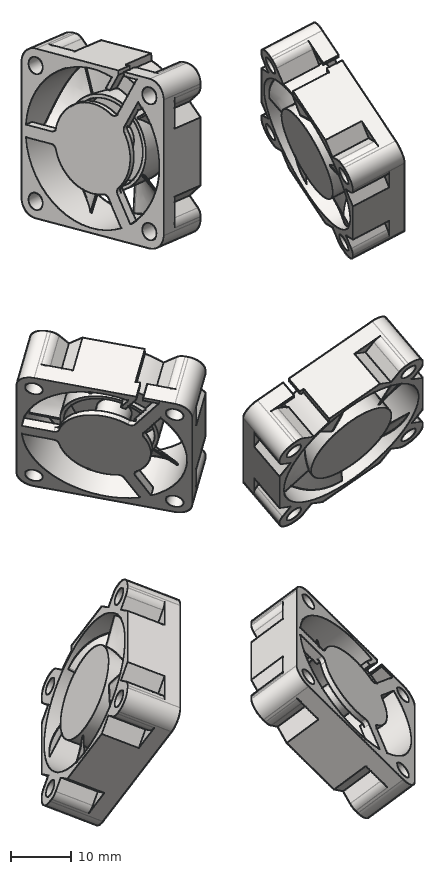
import cadquery as cq
import math

SIDE = 30.0
DEPTH = 10.0
CORNER_RADIUS = 3.0
FLANGE_DEPTH = 3.0
BORE_RADIUS = 14.1
HOLE_OFFSET = 12.0
HOLE_RADIUS = 1.5
HALF_SIDE = SIDE / 2

NOTCH_START = 6.0
NOTCH_DEPTH = 2.3
SHOULDER_RADIUS = 2.0
NOTCH_END = NOTCH_START + 2 * NOTCH_DEPTH
NOTCH_APEX = (NOTCH_START + NOTCH_DEPTH, HALF_SIDE - NOTCH_DEPTH)

PLATE_RADIUS = 7.95
PLATE_THICKNESS = 1.0
BOSS_RADIUS = 3.0
BOSS_DEPTH = 7.38
STRUT_WIDTH = 2.22
STRUT_DEPTH = 1.68
STRUT_FILLET = 0.9
STRUT_END_RADIUS = BORE_RADIUS + 0.15
WIRE_STRUT_ANGLE = 60.0
WIRE_STRUT_SHIFT = -2.05
STRUTS = [(180.0, 0.0), (-60.0, 0.0), (WIRE_STRUT_ANGLE, WIRE_STRUT_SHIFT)]

CHANNEL_WIDTH = 3.3
CHANNEL_WALL = 0.85
CHANNEL_FLOOR = 1.98
CHANNEL_INNER_RADIUS = 11.6
CHANNEL_OUTER_RADIUS = 14.5
CHANNEL_SIDE = WIRE_STRUT_SHIFT + STRUT_WIDTH / 2
WIRE_NOTCH_START = 4.62
WIRE_NOTCH_LEAN = 0.15
WIRE_NOTCH_BOTTOM = 11.4
SLOT_START = 5.45
SLOT_WIDTH = 1.15
HOOK_THICKNESS = 0.75
HOOK_BOTTOM = HALF_SIDE - HOOK_THICKNESS

HUB_RADIUS = 8.4
HUB_WALL = 0.65
HUB_FRONT = 3.65
HUB_FLOOR = 8.22
BLADE_COUNT = 5
BLADE_ANGLE = 85.0
BLADE_TIP_RADIUS = 13.8
BLADE_FRONT = 4.2
BLADE_BACK = 9.3
BLADE_THICKNESS = 0.35
INNER_SECTION = (6.0, 3.6, -1.5, 0.6)
OUTER_SECTION = (14.4, 7.02, -7.3, 1.5)


def sketch_at(y):
    """Workplane at depth y with local coordinates (x, z)."""
    return cq.Workplane("XZ", origin=(0, y, 0))


def turned(body, angle):
    """Turn a body about the bore axis, from +X towards +Z."""
    return body.rotate((0, 0, 0), (0, -1, 0), angle)


def disc(radius, front, back):
    return sketch_at(front).circle(radius).extrude(front - back)


def block(x_range, z_range, front, back):
    (x0, x1), (z0, z1) = x_range, z_range
    outline = [(x0, z0), (x1, z0), (x1, z1), (x0, z1)]
    return sketch_at(front).polyline(outline).close().extrude(front - back)


def post_notch(inner_side):
    """Notch from the points of its inner side, over the apex, to the rounded post shoulder."""
    half_turn = math.radians(45 / 2)
    setback = SHOULDER_RADIUS * math.tan(half_turn)
    slope_run = setback * math.sqrt(0.5)
    corner_gap = SHOULDER_RADIUS / math.cos(half_turn) - SHOULDER_RADIUS
    arc_middle = (
        NOTCH_END + corner_gap * math.sin(half_turn),
        HALF_SIDE - corner_gap * math.cos(half_turn),
    )
    return (
        sketch_at(FLANGE_DEPTH)
        .polyline([*inner_side, NOTCH_APEX, (NOTCH_END - slope_run, HALF_SIDE - slope_run)])
        .threePointArc(arc_middle, (NOTCH_END + setback, HALF_SIDE))
        .close()
        .extrude(FLANGE_DEPTH - DEPTH)
    )


def wire_notch():
    """Wider notch at the wire exit, cut down to a thin wall around the bore."""
    apex_drop = NOTCH_APEX[1] - WIRE_NOTCH_BOTTOM
    inner_side = [
        (WIRE_NOTCH_START, HALF_SIDE),
        (WIRE_NOTCH_START + WIRE_NOTCH_LEAN, WIRE_NOTCH_BOTTOM),
        (NOTCH_APEX[0] - apex_drop, WIRE_NOTCH_BOTTOM),
    ]
    return post_notch(inner_side).cut(disc(CHANNEL_OUTER_RADIUS, 0, DEPTH))


def make_frame():
    frame = sketch_at(0).rect(SIDE, SIDE).extrude(-DEPTH).edges("|Y").fillet(CORNER_RADIUS)
    frame = frame.cut(disc(BORE_RADIUS, 0, DEPTH))
    right_notch = post_notch([(NOTCH_START, HALF_SIDE)])
    left_notch = right_notch.mirror("YZ")
    for side_angle in (0, 90, 180, 270):
        top_right = wire_notch() if side_angle == 0 else right_notch
        frame = frame.cut(turned(top_right, side_angle)).cut(turned(left_notch, side_angle))
    for x in (-HOLE_OFFSET, HOLE_OFFSET):
        for z in (-HOLE_OFFSET, HOLE_OFFSET):
            frame = frame.cut(disc(HOLE_RADIUS, 0, DEPTH).translate((x, 0, z)))
    return frame


def strut(angle, shift, depth):
    sides = (shift - STRUT_WIDTH / 2, shift + STRUT_WIDTH / 2)
    return turned(block((0, STRUT_END_RADIUS), sides, 0, depth), angle)


def make_motor_mount():
    """Plate with filleted strut roots, deeper struts outside it, and the central boss."""
    plate = disc(PLATE_RADIUS, 0, PLATE_THICKNESS)
    for angle, shift in STRUTS:
        plate = plate.union(strut(angle, shift, PLATE_THICKNESS))
    root_zone = cq.selectors.BoxSelector(
        (-HUB_RADIUS, 0, -HUB_RADIUS), (HUB_RADIUS, PLATE_THICKNESS, HUB_RADIUS)
    )
    mount = plate.edges("|Y").edges(root_zone).fillet(STRUT_FILLET)
    plate_space = disc(PLATE_RADIUS, 0, STRUT_DEPTH)
    for angle, shift in STRUTS:
        mount = mount.union(strut(angle, shift, STRUT_DEPTH).cut(plate_space))
    return mount.union(disc(BOSS_RADIUS, 0, BOSS_DEPTH))


def channel_body():
    """Solid surround of the wire channel, inside the bore, from the strut to the channel wall."""
    sides = (CHANNEL_SIDE - STRUT_WIDTH, CHANNEL_SIDE + CHANNEL_WIDTH + CHANNEL_WALL)
    body = turned(block((0, SIDE), sides, 0, FLANGE_DEPTH), WIRE_STRUT_ANGLE)
    return body.intersect(disc(STRUT_END_RADIUS, 0, DEPTH)).cut(disc(CHANNEL_INNER_RADIUS, 0, DEPTH))


def channel_cut():
    """Channel above its floor, the opening behind the hook, and the slot in the top edge."""
    sides = (CHANNEL_SIDE, CHANNEL_SIDE + CHANNEL_WIDTH)
    channel = turned(block((0, SIDE), sides, 0, FLANGE_DEPTH), WIRE_STRUT_ANGLE)
    channel = channel.intersect(block((0, HALF_SIDE), (0, HOOK_BOTTOM), 0, DEPTH))
    channel = channel.cut(disc(CHANNEL_INNER_RADIUS, 0, DEPTH))
    channel = channel.cut(disc(CHANNEL_OUTER_RADIUS, CHANNEL_FLOOR, DEPTH))
    slot_bottom = HOOK_BOTTOM - HOOK_THICKNESS
    slot = block((SLOT_START, SLOT_START + SLOT_WIDTH), (slot_bottom, HALF_SIDE), 0, FLANGE_DEPTH)
    return channel.union(slot.cut(disc(CHANNEL_OUTER_RADIUS, 0, DEPTH)))


def make_housing():
    return make_frame().union(make_motor_mount()).union(channel_body()).cut(channel_cut())


def blade_section(distance, leading, trailing, camber):
    """Closed cambered blade outline in the plane at the given distance from the axis."""
    chord_run = leading - trailing - BLADE_THICKNESS
    chord_rise = BLADE_BACK - BLADE_FRONT
    chord = math.hypot(chord_run, chord_rise)

    def edge(start):
        """Start, middle and end of the arc of one blade face, steepest at its leading edge."""
        middle = start - chord_run / 2 + camber * chord_rise / chord
        middle_depth = (BLADE_FRONT + BLADE_BACK) / 2 + camber * chord_run / chord
        return [
            cq.Vector(distance, BLADE_FRONT, start),
            cq.Vector(distance, middle_depth, middle),
            cq.Vector(distance, BLADE_BACK, start - chord_run),
        ]

    upper = edge(leading)
    lower = edge(leading - BLADE_THICKNESS)
    return cq.Wire.assembleEdges([
        cq.Edge.makeThreePointArc(*upper),
        cq.Edge.makeLine(upper[-1], lower[-1]),
        cq.Edge.makeThreePointArc(*reversed(lower)),
        cq.Edge.makeLine(lower[0], upper[0]),
    ])


def make_blade():
    sections = [blade_section(*INNER_SECTION), blade_section(*OUTER_SECTION)]
    blade = cq.Workplane(cq.Solid.makeLoft(sections, True))
    hub_core = disc(HUB_RADIUS - HUB_WALL / 2, 0, DEPTH)
    return blade.intersect(disc(BLADE_TIP_RADIUS, 0, DEPTH)).cut(hub_core)


def make_rotor():
    rotor = disc(HUB_RADIUS, HUB_FRONT, DEPTH)
    rotor = rotor.cut(disc(HUB_RADIUS - HUB_WALL, HUB_FRONT, HUB_FLOOR))
    blade = make_blade()
    for i in range(BLADE_COUNT):
        rotor = rotor.union(turned(blade, BLADE_ANGLE + i * 360 / BLADE_COUNT))
    return rotor


housing = make_housing()
rotor = make_rotor()
result = cq.Compound.makeCompound([housing.val(), rotor.val()])